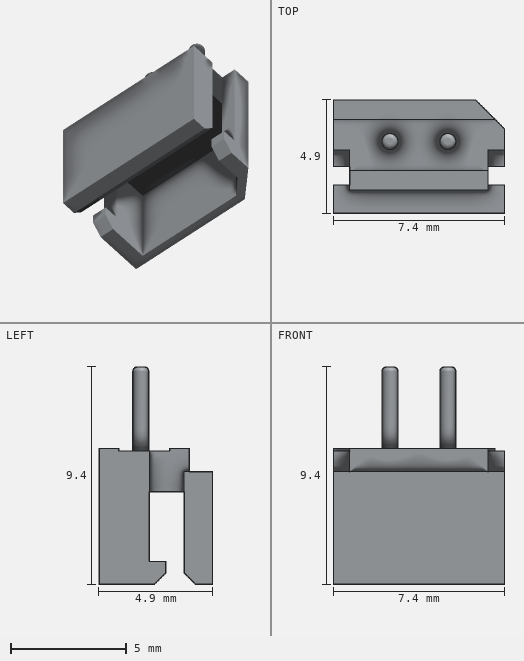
import cadquery as cq
import math

width = 7.4
depth = 4.9
total_height = 9.4

body_height = 5.875
body_front = 2.74
bevel = 1.25
back_wall = 0.395
leg_width = 0.705
arm_width = width - 2 * leg_width
arm_front = 1.01
arm_bottom = 4.0

plate_thickness = 1.23
plate_height = 4.88
catch_front = 2.02
catch_height = 1.0
lead_in = 0.5

groove_front = 1.85
groove_back = 4.05
groove_depth = 0.1

pin_diameter = 0.7
pin_pitch = 2.5
pin_y = 3.1
pin_tip_radius = 0.2


def block(size_x, y_front, y_back, z_bottom, z_top):
    """Box centred on X between the given Y and Z limits."""
    return (
        cq.Workplane("XY")
        .box(size_x, y_back - y_front, z_top - z_bottom, centered=(True, False, False))
        .translate((0, y_front, z_bottom))
    )


def side_profile(points):
    """Extrude a YZ outline over the full width."""
    return cq.Workplane("YZ").polyline(points).close().extrude(width / 2, both=True)


def make_body():
    """Rear block with hooked feet and one vertical corner bevelled."""
    body = side_profile([
        (depth, 0),
        (depth, body_height),
        (body_front, body_height),
        (body_front, catch_height),
        (catch_front, catch_height),
        (catch_front, lead_in),
        (catch_front + lead_in, 0),
    ])
    return body.edges("|Z and >X and >Y").chamfer(bevel)


def make_hollow():
    """Space between the legs, leaving a thin back wall that follows the bevel."""
    half_width = arm_width / 2
    back = depth - back_wall
    bevel_sum = width / 2 + depth - bevel - back_wall * math.sqrt(2)
    return (
        cq.Workplane("XY")
        .polyline([
            (-half_width, catch_front),
            (half_width, catch_front),
            (half_width, bevel_sum - half_width),
            (bevel_sum - back, back),
            (-half_width, back),
        ])
        .close()
        .extrude(arm_bottom)
    )


def make_plate():
    """Front plate with a sloped lower inner edge."""
    return side_profile([
        (0, 0),
        (0, plate_height),
        (plate_thickness, plate_height),
        (plate_thickness, lead_in),
        (plate_thickness - lead_in, 0),
    ])


def make_pin(x):
    """Round pin with a rounded tip, rooted in the solid top of the housing."""
    return (
        cq.Workplane("XY", origin=(x, pin_y, arm_bottom))
        .circle(pin_diameter / 2)
        .extrude(total_height - arm_bottom)
        .faces(">Z")
        .edges()
        .fillet(pin_tip_radius)
    )


arm = block(arm_width, arm_front, body_front, arm_bottom, body_height)
groove = block(width, groove_front, groove_back, body_height - groove_depth, body_height)

result = make_body().cut(make_hollow()).union(arm).union(make_plate()).cut(groove)
for side in (-1, 1):
    result = result.union(make_pin(side * pin_pitch / 2))